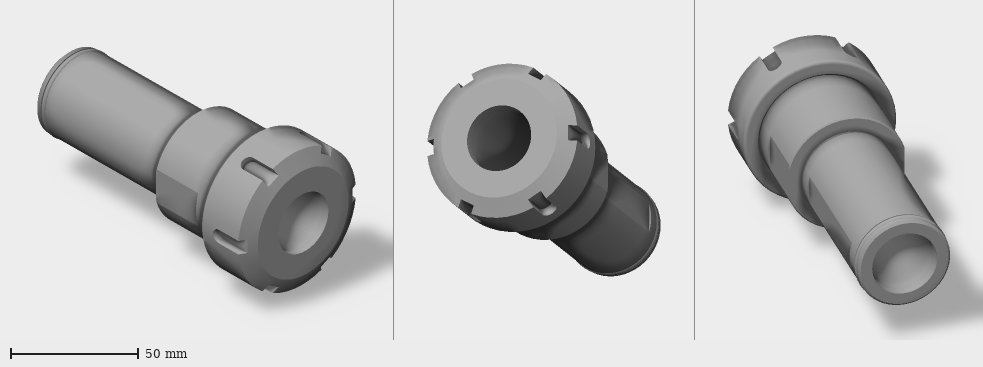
import cadquery as cq
import math

TOTAL_LENGTH = 135.0

SHANK_RADIUS = 38.1 / 2
BORE_RADIUS = 26.9 / 2
SHANK_CHAMFER = 1.0
FLAT_START = 11.9
FLAT_END = 66.8
FLAT_DEPTH = 1.0

RING_SECTION_RADIUS = 1.4
RING_CENTRE_X = 4.2
GROOVE_RADIUS = 33.3 / 2

NECK_RADIUS = 37.5 / 2
NECK_START = 73.5
NECK_TAPER = 0.7

COLLAR_RADIUS = 50.0 / 2
COLLAR_START = 75.0
COLLAR_CHAMFER = 0.5
WRENCH_FLAT_LENGTH = 24.7
WRENCH_ACROSS_FLATS = 47.5

NUT_RADIUS = 63.0 / 2
NUT_START = 109.6
NUT_BACK_FILLET = 1.4
NUT_MOUTH_RADIUS = 51.7 / 2
NUT_CONE_START = 131.4
NUT_FRONT_RADIUS = 48.5 / 2

SLOT_COUNT = 6
SLOT_WIDTH = 6.2
SLOT_TIP_X = 116.9
SLOT_FLOOR_RADIUS = 28.1


def turn(profile):
    """Revolve a closed (x, radius) profile about the X axis."""
    return profile.close().revolve(360, (0, 0, 0), (1, 0, 0))


def box_between(low, high):
    """Axis-aligned box between two opposite corners."""
    sizes = [b - a for a, b in zip(low, high)]
    return cq.Workplane("XY").box(*sizes, centered=False).translate(low)


def make_holder():
    groove_start = RING_CENTRE_X - RING_SECTION_RADIUS
    groove_end = RING_CENTRE_X + RING_SECTION_RADIUS
    holder = turn(cq.Workplane("XY").polyline([
        (0, BORE_RADIUS),
        (0, SHANK_RADIUS - SHANK_CHAMFER),
        (SHANK_CHAMFER, SHANK_RADIUS),
        (groove_start, SHANK_RADIUS),
        (groove_start, GROOVE_RADIUS),
        (groove_end, GROOVE_RADIUS),
        (groove_end, SHANK_RADIUS),
        (NECK_START, SHANK_RADIUS),
        (NECK_START + NECK_TAPER, NECK_RADIUS),
        (COLLAR_START, NECK_RADIUS),
        (COLLAR_START, COLLAR_RADIUS - COLLAR_CHAMFER),
        (COLLAR_START + COLLAR_CHAMFER, COLLAR_RADIUS),
        (NUT_CONE_START, COLLAR_RADIUS),
        (NUT_CONE_START, BORE_RADIUS),
    ]))

    shank_flat = box_between(
        (FLAT_START, SHANK_RADIUS - FLAT_DEPTH, -SHANK_RADIUS),
        (FLAT_END, SHANK_RADIUS, SHANK_RADIUS),
    )
    holder = holder.cut(shank_flat)

    wrench_flat = box_between(
        (COLLAR_START, WRENCH_ACROSS_FLATS / 2, -COLLAR_RADIUS),
        (COLLAR_START + WRENCH_FLAT_LENGTH, COLLAR_RADIUS, COLLAR_RADIUS),
    )
    return holder.cut(wrench_flat).cut(wrench_flat.mirror("XZ"))


def make_seal_ring():
    ring_radius = GROOVE_RADIUS + RING_SECTION_RADIUS
    section = cq.Workplane("XY").center(RING_CENTRE_X, ring_radius).circle(RING_SECTION_RADIUS)
    return section.revolve(360, (0, -ring_radius, 0), (1, -ring_radius, 0))


def make_slot_cutter():
    """Round-ended slot on the -Y side, open toward the front of the nut."""
    half_width = SLOT_WIDTH / 2
    arc_centre_x = SLOT_TIP_X + half_width
    return (
        cq.Workplane("XZ", origin=(0, -SLOT_FLOOR_RADIUS, 0))
        .moveTo(TOTAL_LENGTH, -half_width)
        .lineTo(arc_centre_x, -half_width)
        .threePointArc((SLOT_TIP_X, 0), (arc_centre_x, half_width))
        .lineTo(TOTAL_LENGTH, half_width)
        .close()
        .extrude(NUT_RADIUS - SLOT_FLOOR_RADIUS)
    )


def make_nut():
    mouth_depth = NUT_MOUTH_RADIUS - COLLAR_RADIUS
    fillet_offset = NUT_BACK_FILLET * (1 - math.sqrt(0.5))
    nut = turn(
        cq.Workplane("XY")
        .moveTo(NUT_START, NUT_MOUTH_RADIUS)
        .lineTo(NUT_START, NUT_RADIUS - NUT_BACK_FILLET)
        .threePointArc(
            (NUT_START + fillet_offset, NUT_RADIUS - fillet_offset),
            (NUT_START + NUT_BACK_FILLET, NUT_RADIUS),
        )
        .lineTo(NUT_CONE_START, NUT_RADIUS)
        .lineTo(TOTAL_LENGTH, NUT_FRONT_RADIUS)
        .lineTo(TOTAL_LENGTH, BORE_RADIUS)
        .lineTo(NUT_CONE_START, BORE_RADIUS)
        .lineTo(NUT_CONE_START, COLLAR_RADIUS)
        .lineTo(NUT_START + mouth_depth, COLLAR_RADIUS)
    )
    cutter = make_slot_cutter()
    for index in range(SLOT_COUNT):
        angle = index * 360 / SLOT_COUNT
        nut = nut.cut(cutter.rotate((0, 0, 0), (1, 0, 0), angle))
    return nut


holder = make_holder()
seal_ring = make_seal_ring()
nut = make_nut()

result = cq.Compound.makeCompound([holder.val(), seal_ring.val(), nut.val()])